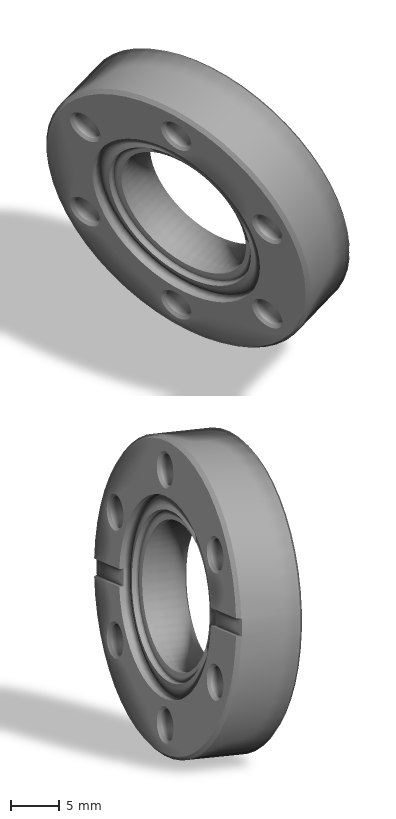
import cadquery as cq
import math

ORIGIN = (0, 0, 0)
FLANGE_AXIS = (0, 1, 0)

outer_diameter = 34.0
thickness = 7.6
rim_chamfer = 0.4
bore_diameter = 16.0

recess_diameter = 21.5
knife_diameter = 18.2
land_diameter = 17.9
knife_depth = 0.65
knife_slope = 20.0
land_depth = 1.3

bolt_count = 6
bolt_circle_diameter = 27.0
bolt_diameter = 3.3
bolt_chamfer = 0.3

slot_width = 1.9
slot_depth = 0.5


def make_body():
    """Chamfered disc standing along Y."""
    disc = cq.Workplane("XZ").circle(outer_diameter / 2).extrude(-thickness)
    return disc.edges().chamfer(rim_chamfer)


def make_bore():
    """Plain cylinder through the whole thickness."""
    return cq.Workplane("XZ").circle(bore_diameter / 2).extrude(-thickness)


def make_recess():
    """Revolved recess at Y = 0: flat land, inner knife flank, sloped outer flank, outer wall."""
    recess_radius = recess_diameter / 2
    knife_radius = knife_diameter / 2
    land_radius = land_diameter / 2
    flank_drop = (recess_radius - knife_radius) * math.tan(math.radians(knife_slope))
    profile = (
        cq.Workplane("XY")
        .lineTo(recess_radius, 0)
        .lineTo(recess_radius, knife_depth + flank_drop)
        .lineTo(knife_radius, knife_depth)
        .lineTo(land_radius, land_depth)
        .lineTo(0, land_depth)
        .close()
    )
    return profile.revolve(360, ORIGIN, FLANGE_AXIS)


def make_bolt_hole():
    """Through hole on the axis, with a chamfered mouth at both faces."""
    bolt_radius = bolt_diameter / 2
    mouth_radius = bolt_radius + bolt_chamfer
    profile = (
        cq.Workplane("XY")
        .lineTo(mouth_radius, 0)
        .lineTo(bolt_radius, bolt_chamfer)
        .lineTo(bolt_radius, thickness - bolt_chamfer)
        .lineTo(mouth_radius, thickness)
        .lineTo(0, thickness)
        .close()
    )
    return profile.revolve(360, ORIGIN, FLANGE_AXIS)


def cut_bolt_holes(body):
    """Cut the evenly spaced ring of bolt holes, the first one at +Z."""
    hole = make_bolt_hole().translate((0, 0, bolt_circle_diameter / 2))
    for index in range(bolt_count):
        angle = index * 360 / bolt_count
        body = body.cut(hole.rotate(ORIGIN, FLANGE_AXIS, angle))
    return body


def make_leak_slot():
    """Shallow slot along X over the full width of the flange."""
    slot = cq.Workplane("XY").box(outer_diameter, slot_depth, slot_width)
    return slot.translate((0, thickness - slot_depth / 2, 0))


recess = make_recess()
opposite_recess = recess.mirror("XZ", (0, thickness / 2, 0))
flange = make_body().cut(make_bore()).cut(recess).cut(opposite_recess)
flange = cut_bolt_holes(flange)
result = flange.cut(make_leak_slot())